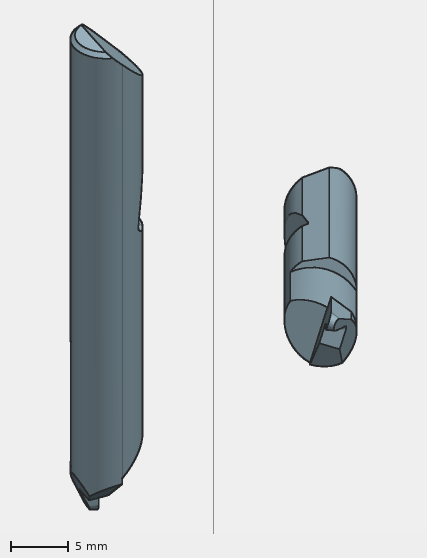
import cadquery as cq
import math

length = 50.8
diameter = 6.35
radius = diameter / 2
end_chamfer = 0.4
flat_angle = 155.0
flat_distance = 2.95
slope_start_y = -1.25

notch_bottom = 30.8
notch_floor_y = 1.7
notch_slope = 10.0
notch_fillet = 0.95

neck_top = 19.05
neck_bottom = 6.05
neck_radius = 4.55
neck_left = -2.1
face_top = 6.35

finger_width = 1.65
step_height = 2.95
step_end_x = 0.35
step_fillet = 0.3
flank_depth = 2.1
inner_relief_angle = 10.0
clearance_heel = 0.5
clearance_height = 5.8

inner_x = finger_width - radius
heel_x = -math.sqrt(radius**2 - flank_depth**2)

margin = 5.1


def prism_along_x(points):
    """Polygon of (y, z) points running right through the part in X."""
    return cq.Workplane("YZ").polyline(points).close().extrude(radius + margin, both=True)


def prism_along_y(points):
    """Polygon of (x, z) points running right through the part in Y."""
    return cq.Workplane("XZ").polyline(points).close().extrude(radius + margin, both=True)


def prism_along_z(points, bottom, top):
    """Polygon of (x, y) points between two heights."""
    return cq.Workplane("XY").workplane(offset=bottom).polyline(points).close().extrude(top - bottom)


def shank():
    body = cq.Workplane("XY").circle(radius).extrude(length)
    return body.faces(">Z").chamfer(end_chamfer)


def long_flat():
    cutter = cq.Workplane("XY").box(margin, 2 * margin, length, centered=(False, True, False))
    cutter = cutter.translate((flat_distance, 0, neck_top))
    return cutter.rotate((0, 0, 0), (0, 0, 1), flat_angle)


def top_slope():
    reach = radius + margin
    return prism_along_x([
        (slope_start_y - margin, length + margin),
        (reach, length + margin),
        (reach, length - (reach - slope_start_y)),
    ])


def clamping_notch():
    reach = radius + margin
    rise = (reach - notch_floor_y) / math.tan(math.radians(notch_slope))
    notch = prism_along_x([
        (notch_floor_y, notch_bottom),
        (reach, notch_bottom),
        (reach, notch_bottom + rise),
    ])
    return notch.edges("|X").edges("<Y").fillet(notch_fillet)


def neck_relief():
    height = neck_top - neck_bottom
    base = cq.Workplane("XY").workplane(offset=neck_bottom)
    block = base.rect(4 * margin, 4 * margin).extrude(height)
    core = base.center(neck_left + neck_radius, 0).circle(neck_radius).extrude(height)
    keep = base.center(2 * margin, 0).rect(4 * margin, 4 * margin).extrude(height)
    return block.cut(core).cut(keep)


def rake_face():
    reach = radius + margin
    return prism_along_x([
        (0, -margin),
        (0, face_top),
        (reach, face_top + reach),
        (reach, -margin),
    ])


def finger_section(left, right, y):
    """Wire of the finger across Y: straight sides and a full round end."""
    middle = (left + right) / 2
    half_width = (right - left) / 2
    tip_center_z = finger_width / 2
    section = (
        cq.Workplane("XZ", origin=(0, y, 0))
        .moveTo(left, step_height)
        .lineTo(left, tip_center_z)
        .threePointArc((middle, tip_center_z - half_width), (right, tip_center_z))
        .lineTo(right, step_height)
        .close()
    )
    return section.val()


def finger():
    """Finger narrowing from the rake face towards its heel."""
    rake_section = finger_section(-radius, inner_x, 0)
    inner_relief = flank_depth * math.tan(math.radians(inner_relief_angle))
    heel_section = finger_section(heel_x, inner_x - inner_relief, -flank_depth)
    return cq.Workplane(cq.Solid.makeLoft([rake_section, heel_section], True))


def head_underside():
    """Space around the finger, with a rounded corner beside the finger's root."""
    space = cq.Workplane("XY").box(
        diameter + margin, flank_depth, step_height + margin, centered=(True, False, False)
    )
    space = space.translate((0, -flank_depth, -margin)).cut(finger())
    root = cq.selectors.NearestToPointSelector((inner_x, -flank_depth / 2, step_height))
    space = space.edges(root).fillet(step_fillet)
    behind = cq.Workplane("XY").box(
        diameter + margin, margin, step_height + margin, centered=(True, False, False)
    )
    return space.union(behind.translate((0, -flank_depth - margin, -margin)))


def underside_slope():
    """45 degree cut from the underside up to the +X side."""
    reach = radius + margin
    return prism_along_y([
        (step_end_x, step_height),
        (reach, step_height + reach - step_end_x),
        (reach, step_height),
    ])


def outer_flank():
    """Side relief from the cutting edge back to the shank surface."""
    return prism_along_z(
        [(-radius, 0), (heel_x, -flank_depth), (-radius - margin, -flank_depth)], step_height, neck_bottom
    )


def end_clearance():
    return prism_along_x([
        (-clearance_heel, 0),
        (-radius, clearance_height),
        (-radius - margin, clearance_height),
        (-radius - margin, 0),
    ])


result = shank()
for cutter in (
    long_flat(), top_slope(), clamping_notch(), neck_relief(), rake_face(), head_underside(),
    underside_slope(), outer_flank(), end_clearance(),
):
    result = result.cut(cutter)